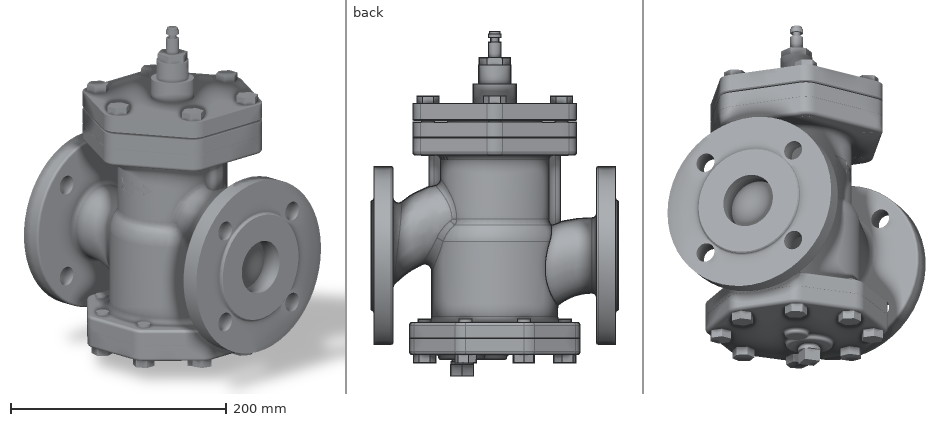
import cadquery as cq
import math


overlap = 1.0
select_margin = 0.1

face_to_face = 230.0
flange_diameter = 165.0
flange_back_x = 94.4
flange_front_x = 112.3
flange_edge_radius = 2.0
raised_face_diameter = 102.0
raised_face_chamfer = 1.0
raised_face_root_fillet = 1.5
flange_bolt_circle = 125.0
flange_bolt_hole = 18.0
flange_bolt_count = 4
bore_diameter = 50.0
bore_depth = 20.0

upper_barrel_radius = 51.0
lower_barrel_radius = 58.5
shoulder_top_z = 33.7
shoulder_middle_z = 28.2
shoulder_bottom_z = 12.8
upper_fillet = 4.0
lower_fillet = 5.5

branch_radius = 35.0
bend_radius = 84.0
inlet_bend_start_x = -90.0
inlet_bend_angle = 45.0
outlet_crest_x = 33.0
outlet_crest_z = 33.9
outlet_end_x = 97.0
outlet_section_count = 5
inlet_flange_fillet = 4.0
outlet_flange_fillet = 5.0
branch_body_fillet = 6.5

cover_sides = 6
cover_bolt_radius = 71.58
corner_radius = 14.0
body_flange_bottom_z = 93.1
body_flange_top_z = 123.8
body_flange_seam_z = 109.6
cover_bottom_z = 125.2
cover_top_z = 141.2
cover_edge_chamfer = 1.0
gasket_diameter = 88.0

base_sides = 8
base_bolt_radius = 70.5
base_top_z = -62.0
base_seam_z = -76.8
base_bottom_z = -92.1
plate_edge_radius = 3.0
seam_height = 0.8
seam_depth = 0.2

bolt_diameter = 12.0
bolt_head_width = 18.0
cover_head_height = 6.7
cover_bolt_end_z = 92.9
base_head_height = 7.5
base_bolt_end_z = -59.2

rib_reach = 61.2
rib_width = 16.6
rib_edge_radius = 5.0
rib_bottom_z = 20.0

collar_diameter = 40.0
collar_top_z = 159.3
sleeve_diameter = 30.0
sleeve_top_z = 176.8
gland_nut_width = 25.0
gland_nut_top_z = 183.7
stem_diameter = 12.0
stem_neck_diameter = 7.5
stem_tip_diameter = 9.95
stem_shoulder_z = 197.9
stem_head_bottom_z = 202.1
stem_head_top_z = 205.7
stem_top_z = 208.0

boss_height = 4.4
center_boss_radius = 13.3
drain_x = 30.3
drain_boss_radius = 24.0
drain_neck_radius = 9.2
drain_collar_radius = 10.4
drain_collar_top_z = -98.5
drain_square_top_z = -101.3
drain_square_width = 15.2
drain_bottom_z = -112.0

arrow_z = 63.2
arrow_tail_x = -20.2
arrow_notch_x = -16.8
arrow_tail_end_x = -0.5
arrow_head_x = 11.0
arrow_tip_x = 20.2
arrow_half_height = 5.6
arrow_shaft_half_height = 2.2
arrow_depth = 0.5


def cylinder(diameter, bottom, top, x=0.0, y=0.0):
    """Upright round bar between two heights."""
    return cq.Workplane("XY", origin=(x, y, bottom)).circle(diameter / 2).extrude(top - bottom)


def hexagon(width, bottom, top, x=0.0, y=0.0, turn=0.0):
    """Upright hexagonal bar; unturned it has corners on +X and -X."""
    across_corners = width / math.cos(math.pi / 6)
    bar = cq.Workplane("XY").polygon(6, across_corners).extrude(top - bottom)
    return bar.rotate((0, 0, 0), (0, 0, 1), turn).translate((x, y, bottom))


def rounded_polygon(sides, bolt_radius, first_angle, bottom, top, inset=0.0):
    """Regular polygon plate whose rounded corners are centred on the bolt circle."""
    radius = corner_radius - inset
    apothem = bolt_radius * math.cos(math.pi / sides) + radius
    across_corners = 2 * apothem / math.cos(math.pi / sides)
    plate = cq.Workplane("XY").polygon(sides, across_corners).extrude(top - bottom)
    plate = plate.edges("|Z").fillet(radius)
    return plate.rotate((0, 0, 0), (0, 0, 1), first_angle).translate((0, 0, bottom))


def bolt_places(sides, bolt_radius, first_angle):
    """Angle, x and y of each bolt."""
    places = []
    for index in range(sides):
        angle = first_angle + index * 360 / sides
        x = bolt_radius * math.cos(math.radians(angle))
        y = bolt_radius * math.sin(math.radians(angle))
        places.append((angle, x, y))
    return places


def make_barrel():
    """Stepped barrel with an S-shaped shoulder between its two radii."""
    radius_step = lower_barrel_radius - upper_barrel_radius
    shoulder_height = shoulder_top_z - shoulder_bottom_z
    sweep = 2 * math.atan(radius_step / shoulder_height)
    hollow = (shoulder_top_z - shoulder_middle_z) / math.sin(sweep)
    crown = (shoulder_middle_z - shoulder_bottom_z) / math.sin(sweep)
    half = sweep / 2
    hollow_mid = (
        upper_barrel_radius + hollow * (1 - math.cos(half)),
        shoulder_top_z - hollow * math.sin(half),
    )
    middle = (upper_barrel_radius + hollow * (1 - math.cos(sweep)), shoulder_middle_z)
    crown_mid = (
        lower_barrel_radius - crown * (1 - math.cos(half)),
        shoulder_bottom_z + crown * math.sin(half),
    )
    profile = (
        cq.Workplane("XZ")
        .moveTo(0, base_seam_z)
        .lineTo(0, body_flange_seam_z)
        .lineTo(upper_barrel_radius, body_flange_seam_z)
        .lineTo(upper_barrel_radius, shoulder_top_z)
        .threePointArc(hollow_mid, middle)
        .threePointArc(crown_mid, (lower_barrel_radius, shoulder_bottom_z))
        .lineTo(lower_barrel_radius, base_seam_z)
        .close()
    )
    return profile.revolve(360, (0, 0, 0), (0, 1, 0))


def make_root_ring(radius, face_z, size, direction):
    """Ring with a concave fillet between a barrel and the plate at face_z."""
    diagonal = size * (1 - math.sqrt(0.5))
    profile = (
        cq.Workplane("XZ")
        .moveTo(radius - size, face_z)
        .lineTo(radius + size, face_z)
        .threePointArc(
            (radius + diagonal, face_z + direction * diagonal),
            (radius, face_z + direction * size),
        )
        .lineTo(radius - size, face_z + direction * size)
        .close()
    )
    return profile.revolve(360, (0, 0, 0), (0, 1, 0))


def make_inlet_branch():
    """Round pipe leaving the flange straight, then bending down into the barrel."""
    straight = (
        cq.Workplane("YZ", origin=(-flange_front_x, 0, 0))
        .circle(branch_radius)
        .extrude(flange_front_x + inlet_bend_start_x)
    )
    bend = (
        cq.Workplane("YZ", origin=(inlet_bend_start_x, 0, 0))
        .circle(branch_radius)
        .revolve(inlet_bend_angle, (0, -bend_radius, 0), (1, -bend_radius, 0))
    )
    return straight.union(bend)


def make_outlet_branch():
    """Pipe of upright round sections whose centres follow an arc down to the flange."""
    bend_center_z = outlet_crest_z - bend_radius
    sections = cq.Workplane("YZ", origin=(outlet_crest_x, 0, 0))
    step = (outlet_end_x - outlet_crest_x) / (outlet_section_count - 1)
    height = 0.0
    for index in range(outlet_section_count):
        rise = math.sqrt(bend_radius**2 - (index * step) ** 2) + bend_center_z
        offset = 0.0 if index == 0 else step
        sections = sections.workplane(offset=offset).center(0, rise - height).circle(branch_radius)
        height = rise
    return sections.loft(combine=True)


def fillet_ring(body, plane_x, reach, size):
    """Fillet the closed edges lying in the plane at plane_x within reach of the pipe axis."""
    ring = cq.selectors.BoxSelector(
        (plane_x - select_margin, -reach, -reach),
        (plane_x + select_margin, reach, reach),
        boundingbox=True,
    )
    return body.edges(ring).fillet(size)


def make_pipe_flange(side):
    """Pipe flange with raised face; side is -1 for the inlet and 1 for the outlet."""
    disc = (
        cq.Workplane("YZ", origin=(flange_back_x, 0, 0))
        .circle(flange_diameter / 2)
        .extrude(flange_front_x - flange_back_x)
        .edges("<X")
        .fillet(flange_edge_radius)
    )
    face = (
        cq.Workplane("YZ", origin=(flange_front_x, 0, 0))
        .circle(raised_face_diameter / 2)
        .extrude(face_to_face / 2 - flange_front_x)
        .edges(">X")
        .chamfer(raised_face_chamfer)
    )
    reach = raised_face_diameter / 2 + overlap
    flange = fillet_ring(disc.union(face), flange_front_x, reach, raised_face_root_fillet)
    if side < 0:
        flange = flange.mirror("YZ")
    return flange


def fillet_outlet_root(body):
    """Blend the outlet branch into the barrel."""
    reach = lower_barrel_radius + overlap
    near = cq.selectors.BoxSelector((0, -reach, -reach), (reach, reach, body_flange_bottom_z))
    edges = [edge for edge in body.edges(near).vals() if edge.geomType() not in ("CIRCLE", "LINE")]
    return body.newObject(edges).fillet(branch_body_fillet)


def cut_flange_holes(body):
    """Bolt holes through both flanges and a blind bore in each raised face."""
    bolt_offset = flange_bolt_circle / 2
    thickness = flange_front_x - flange_back_x
    end_x = face_to_face / 2
    starts = ((-flange_front_x, -end_x), (flange_back_x, end_x - bore_depth))
    for back_x, bore_x in starts:
        holes = (
            cq.Workplane("YZ", origin=(back_x, 0, 0))
            .polarArray(bolt_offset, 180 / flange_bolt_count, 360, flange_bolt_count)
            .circle(flange_bolt_hole / 2)
            .extrude(thickness)
        )
        bore = cq.Workplane("YZ", origin=(bore_x, 0, 0)).circle(bore_diameter / 2).extrude(bore_depth)
        body = body.cut(holes).cut(bore)
    return body


def make_ribs():
    """Upright rib on each side of the upper barrel with rounded outer edges."""
    ribs = (
        cq.Workplane("XY", origin=(0, 0, rib_bottom_z))
        .rect(2 * rib_reach, rib_width)
        .extrude(body_flange_seam_z - rib_bottom_z)
        .edges("|Z")
        .fillet(rib_edge_radius)
    )
    return ribs


def make_cover():
    """Hexagonal body flange, gasket, cover plate and six bolts."""
    first_angle = 180 / cover_sides
    shape = (cover_sides, cover_bolt_radius, first_angle)
    lower = rounded_polygon(*shape, body_flange_bottom_z, body_flange_seam_z - seam_height / 2)
    lower = lower.faces("<Z").edges().fillet(plate_edge_radius)
    seam = rounded_polygon(
        *shape, body_flange_bottom_z + plate_edge_radius, body_flange_top_z - overlap, seam_depth
    )
    upper = rounded_polygon(*shape, body_flange_seam_z + seam_height / 2, body_flange_top_z)
    lid = rounded_polygon(*shape, cover_bottom_z, cover_top_z)
    lid = lid.faces("<Z").edges().chamfer(cover_edge_chamfer)
    cover = lower.union(seam).union(upper).union(lid)
    cover = cover.union(cylinder(gasket_diameter, body_flange_top_z - overlap, cover_bottom_z + overlap))
    for _, x, y in bolt_places(*shape):
        cover = cover.union(cylinder(bolt_diameter, cover_bolt_end_z, cover_top_z, x, y))
        cover = cover.union(hexagon(bolt_head_width, cover_top_z, cover_top_z + cover_head_height, x, y))
    return cover


def make_base():
    """Octagonal body flange, base plate and eight bolts."""
    first_angle = 180 / base_sides
    shape = (base_sides, base_bolt_radius, first_angle)
    upper = rounded_polygon(*shape, base_seam_z + seam_height / 2, base_top_z)
    upper = upper.faces(">Z").edges().fillet(plate_edge_radius)
    seam = rounded_polygon(
        *shape, base_bottom_z + plate_edge_radius, base_top_z - plate_edge_radius, seam_depth
    )
    lower = rounded_polygon(*shape, base_bottom_z, base_seam_z - seam_height / 2)
    lower = lower.faces("<Z").edges().fillet(plate_edge_radius)
    base = upper.union(seam).union(lower)
    head_bottom_z = base_bottom_z - base_head_height
    for angle, x, y in bolt_places(*shape):
        base = base.union(cylinder(bolt_diameter, base_bottom_z, base_bolt_end_z, x, y))
        head = hexagon(bolt_head_width, head_bottom_z, base_bottom_z, x, y, angle - first_angle)
        base = base.union(head)
    return base


def make_stem():
    """Collar, sleeve, gland nut and grooved stem on top of the cover."""
    stem = cylinder(collar_diameter, cover_top_z, collar_top_z)
    stem = stem.union(cylinder(sleeve_diameter, collar_top_z, sleeve_top_z))
    stem = stem.union(hexagon(gland_nut_width, sleeve_top_z, gland_nut_top_z))
    stem = stem.union(cylinder(stem_diameter, gland_nut_top_z, stem_shoulder_z))
    stem = stem.union(cylinder(stem_neck_diameter, stem_shoulder_z, stem_head_bottom_z))
    stem = stem.union(cylinder(stem_diameter, stem_head_bottom_z, stem_head_top_z))
    return stem.union(cylinder(stem_tip_diameter, stem_head_top_z, stem_top_z))


def make_boss(x, radius):
    """Low round boss under the base plate with an S-shaped flank."""
    blend = boss_height / 2
    bend = blend * math.sqrt(0.5)
    bottom = base_bottom_z - boss_height
    middle = base_bottom_z - blend
    profile = (
        cq.Workplane("XZ")
        .moveTo(0, bottom)
        .lineTo(0, base_bottom_z)
        .lineTo(radius, base_bottom_z)
        .threePointArc((radius - bend, middle + bend), (radius - blend, middle))
        .threePointArc((radius - 2 * blend + bend, middle - bend), (radius - 2 * blend, bottom))
        .close()
    )
    return profile.revolve(360, (0, 0, 0), (0, 1, 0)).translate((x, 0, 0))


def make_drain():
    """Two bosses under the base plate and a square-headed drain plug."""
    boss_bottom_z = base_bottom_z - boss_height
    drain = make_boss(0, center_boss_radius).union(make_boss(drain_x, drain_boss_radius))
    neck = cylinder(2 * drain_neck_radius, drain_collar_top_z, boss_bottom_z, drain_x)
    collar = cylinder(2 * drain_collar_radius, drain_square_top_z, drain_collar_top_z, drain_x)
    square = (
        cq.Workplane("XY")
        .rect(drain_square_width, drain_square_width)
        .extrude(drain_square_top_z - drain_bottom_z)
        .rotate((0, 0, 0), (0, 0, 1), 45)
        .translate((drain_x, 0, drain_bottom_z))
    )
    return drain.union(neck).union(collar).union(square)


def make_arrow():
    """Thin curved arrow, notched at its tail, to engrave in the upper barrel."""
    outline = [
        (arrow_tail_x, arrow_half_height),
        (arrow_tail_end_x, arrow_half_height),
        (arrow_tail_end_x, arrow_shaft_half_height),
        (arrow_head_x, arrow_shaft_half_height),
        (arrow_head_x, arrow_half_height),
        (arrow_tip_x, 0),
        (arrow_head_x, -arrow_half_height),
        (arrow_head_x, -arrow_shaft_half_height),
        (arrow_tail_end_x, -arrow_shaft_half_height),
        (arrow_tail_end_x, -arrow_half_height),
        (arrow_tail_x, -arrow_half_height),
        (arrow_notch_x, 0),
    ]
    prism = (
        cq.Workplane("XZ", origin=(0, 0, arrow_z))
        .polyline(outline)
        .close()
        .extrude(upper_barrel_radius + overlap)
    )
    core_reach = arrow_half_height + overlap
    core_diameter = 2 * (upper_barrel_radius - arrow_depth)
    core = cylinder(core_diameter, arrow_z - core_reach, arrow_z + core_reach)
    return prism.cut(core)


body = make_barrel().union(make_outlet_branch())
body = fillet_outlet_root(body)
body = body.union(make_pipe_flange(1))
body = fillet_ring(body, flange_back_x, raised_face_diameter / 2, outlet_flange_fillet)
inlet = make_inlet_branch().union(make_pipe_flange(-1))
inlet = fillet_ring(inlet, -flange_back_x, raised_face_diameter / 2, inlet_flange_fillet)
body = body.union(make_ribs()).union(inlet)
body = body.union(make_root_ring(upper_barrel_radius, body_flange_bottom_z, upper_fillet, -1))
body = body.union(make_root_ring(lower_barrel_radius, base_top_z, lower_fillet, 1))
body = cut_flange_holes(body)
body = body.cut(make_arrow())
result = body.union(make_cover()).union(make_base()).union(make_stem()).union(make_drain())